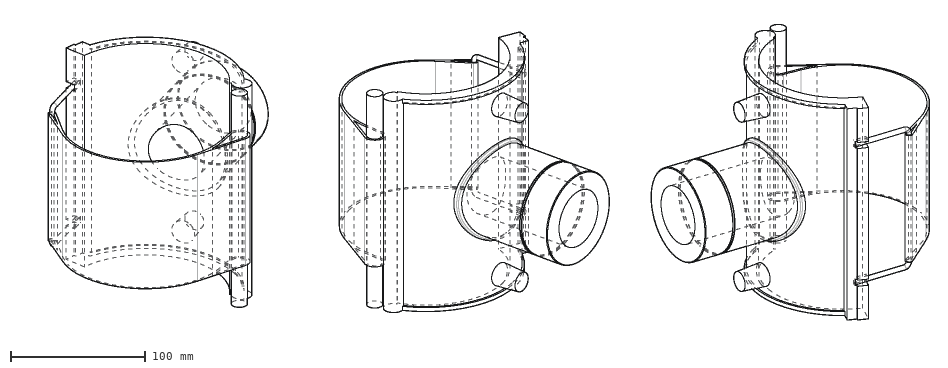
import cadquery as cq
import math


saddle_length = 176.0
pipe_radius = 62.6
saddle_radius = 71.7
end_band_radius = 73.5
end_band_width = 3.5
mid_wall_radius = (pipe_radius + saddle_radius) / 2
saddle_end_angle = 20.0

branch_tip_y = 147.5
branch_diameter = 73.7
branch_bore = 45.5
branch_tip_chamfer = 0.6
groove_diameter = 72.5
groove_width = 1.7
groove_y = 121.8
bead_diameter = 79.4
bead_radius_from_axis = 74.7
bead_rounding = 1.5

peg_tip_y = 92.5
peg_base_y = 68.0
peg_base_diameter = 18.9
peg_tip_diameter = 15.5
peg_z = 70.5

block_outer = 81.0
block_upper_outer = 79.4
block_step_height = 8.5
block_height = 16.0
slot_width = 5.0
slot_floor_x = -68.3
slot_top_y = 36.0

hinge_bead_x = 67.3
hinge_bead_y = 24.5
hinge_bead_radius = 7.6
rod_y = 9.8
rod_diameter = 12.0

wire_diameter = 4.0
wire_x = -70.7
wire_arm_z = 57.3
wire_bottom_y = -12.0
wire_bend_radius = 4.0
wire_seat = 0.5

strap_right_x = 79.5
strap_width = 105.5
strap_thickness = 2.0
strap_inner_radius = 62.8
strap_outer_radius = strap_inner_radius + strap_thickness
rod_loop_radius = rod_diameter / 2 + strap_thickness
wire_loop_radius = 3.0
rod_x = strap_right_x - rod_loop_radius


def polar(radius, angle, center=(0, 0)):
    a = math.radians(angle)
    return (center[0] + radius * math.cos(a), center[1] + radius * math.sin(a))


def centered_plate(profile, height):
    """Extrude a closed XY profile equally to both sides of Z = 0."""
    return profile.extrude(height / 2, both=True)


def ring_sector(inner, outer, start, end, height, center=(0, 0)):
    middle = (start + end) / 2
    profile = (
        cq.Workplane("XY")
        .moveTo(*polar(outer, start, center))
        .threePointArc(polar(outer, middle, center), polar(outer, end, center))
        .lineTo(*polar(inner, end, center))
        .threePointArc(polar(inner, middle, center), polar(inner, start, center))
        .close()
    )
    return centered_plate(profile, height)


def upright_rod(x, y, diameter, height):
    return centered_plate(cq.Workplane("XY").center(x, y).circle(diameter / 2), height)


def branch_cylinder(diameter, start_y, end_y):
    plane = cq.Plane(origin=(0, start_y, 0), xDir=(1, 0, 0), normal=(0, 1, 0))
    return cq.Workplane(plane).circle(diameter / 2).extrude(end_y - start_y)


def make_saddle():
    ends = (saddle_end_angle, 180 - saddle_end_angle)
    saddle = ring_sector(pipe_radius, saddle_radius, *ends, saddle_length)
    band = ring_sector(pipe_radius, end_band_radius, *ends, end_band_width)
    band_z = (saddle_length - end_band_width) / 2
    for side in (-1, 1):
        saddle = saddle.union(band.translate((0, 0, side * band_z)))
    hinge_bead = upright_rod(hinge_bead_x, hinge_bead_y, 2 * hinge_bead_radius, saddle_length)
    return saddle.union(hinge_bead)


def make_latch_block():
    angle = 180 - saddle_end_angle
    a = math.radians(angle)
    plane = cq.Plane(origin=(0, 0, 0), xDir=(math.cos(a), math.sin(a), 0), normal=(0, 0, 1))
    outline = [
        (pipe_radius, 0),
        (block_outer, 0),
        (block_outer, -block_step_height),
        (block_upper_outer, -block_step_height),
        (block_upper_outer, -block_height),
        (mid_wall_radius, -block_height),
    ]
    block = centered_plate(cq.Workplane(plane).polyline(outline).close(), saddle_length)
    block = block.cut(upright_rod(0, 0, 2 * pipe_radius, saddle_length))
    slot = cq.Workplane("XY").box(block_outer, slot_top_y, slot_width)
    slot_x = slot_floor_x - block_outer / 2
    for side in (-1, 1):
        block = block.cut(slot.translate((slot_x, slot_top_y / 2, side * wire_arm_z)))
    return block


def make_branch():
    branch = branch_cylinder(branch_diameter, 0, branch_tip_y)
    branch = branch.faces(">Y").chamfer(branch_tip_chamfer)
    groove_start = groove_y - groove_width / 2
    groove_end = groove_y + groove_width / 2
    groove = branch_cylinder(bead_diameter, groove_start, groove_end).cut(
        branch_cylinder(groove_diameter, groove_start, groove_end)
    )
    bead = branch_cylinder(bead_diameter, 0, branch_tip_y).intersect(
        upright_rod(0, 0, 2 * bead_radius_from_axis, saddle_length)
    )
    bead = bead.faces(">Y").edges().fillet(bead_rounding)
    return branch.cut(groove).union(bead)


def make_peg(z):
    plane = cq.Plane(origin=(0, peg_base_y, z), xDir=(1, 0, 0), normal=(0, 1, 0))
    return (
        cq.Workplane(plane)
        .circle(peg_base_diameter / 2)
        .workplane(offset=peg_tip_y - peg_base_y)
        .circle(peg_tip_diameter / 2)
        .loft(ruled=True)
    )


def make_wire_bail():
    """U-shaped wire: two arms along Y joined by an upright leg."""
    top_y = slot_top_y + wire_seat
    bend_y = wire_bottom_y + wire_bend_radius
    leg_z = wire_arm_z - wire_bend_radius
    diagonal = wire_bend_radius * math.sqrt(0.5)
    path = (
        cq.Workplane("YZ", origin=(wire_x, 0, 0))
        .moveTo(top_y, wire_arm_z)
        .lineTo(bend_y, wire_arm_z)
        .threePointArc((bend_y - diagonal, leg_z + diagonal), (wire_bottom_y, leg_z))
        .lineTo(wire_bottom_y, -leg_z)
        .threePointArc((bend_y - diagonal, -leg_z - diagonal), (bend_y, -wire_arm_z))
        .lineTo(top_y, -wire_arm_z)
    )
    start = cq.Plane(origin=(wire_x, top_y, wire_arm_z), xDir=(1, 0, 0), normal=(0, -1, 0))
    return cq.Workplane(start).circle(wire_diameter / 2).sweep(path)


def strand_angles(center, loop_radius, side):
    """Directions in which the inner and outer strands touch the main strap arc.

    The outer strand is tangent to the outside of arc and loop alike; the inner
    strand is tangent to the inside of the arc and the near side of the loop.
    side is +1 for a loop at the right end of the arc, -1 at the left end.
    """
    distance = math.hypot(*center)
    direction = math.degrees(math.atan2(center[1], center[0]))
    inner = math.degrees(math.acos((strap_inner_radius + loop_radius) / distance))
    outer = math.degrees(math.acos((strap_outer_radius - loop_radius) / distance))
    return direction - side * inner, direction - side * outer


def make_strand(center, angle, loop_far, loop_near):
    corners = [
        polar(strap_outer_radius, angle),
        polar(strap_inner_radius, angle),
        polar(loop_near, angle, center),
        polar(loop_far, angle, center),
    ]
    return centered_plate(cq.Workplane("XY").polyline(corners).close(), strap_width)


def make_strap_loop(center, loop_radius, inner_angle, outer_angle, side):
    core_radius = loop_radius - strap_thickness
    inner_strand = make_strand(center, inner_angle, -core_radius, -loop_radius)
    outer_strand = make_strand(center, outer_angle, loop_radius, core_radius)
    start, end = sorted((outer_angle, inner_angle + side * 180))
    wrap = ring_sector(core_radius, loop_radius, start, end, strap_width, center)
    return wrap.union(inner_strand).union(outer_strand)


def make_strap():
    rod_center = (rod_x, rod_y)
    wire_center = (wire_x, wire_bottom_y)
    right_inner, right_outer = strand_angles(rod_center, rod_loop_radius, 1)
    left_inner, left_outer = strand_angles(wire_center, wire_loop_radius, -1)
    strap = ring_sector(strap_inner_radius, strap_outer_radius, left_inner, right_inner, strap_width)
    rod_loop = make_strap_loop(rod_center, rod_loop_radius, right_inner, right_outer, 1)
    wire_loop = make_strap_loop(wire_center, wire_loop_radius, left_inner, left_outer, -1)
    return strap.union(rod_loop).union(wire_loop)


body = make_saddle().union(make_latch_block())
branch = make_branch().cut(upright_rod(0, 0, 2 * mid_wall_radius, saddle_length))
body = body.union(branch)
for peg_side in (-1, 1):
    body = body.union(make_peg(peg_side * peg_z))
body = body.cut(branch_cylinder(branch_bore, 0, branch_tip_y))

hinge_rod = upright_rod(rod_x, rod_y, rod_diameter, saddle_length)
result = body.union(make_strap()).union(hinge_rod).union(make_wire_bail())